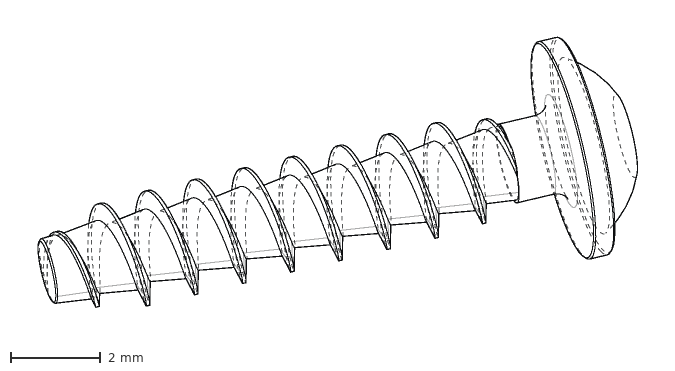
import cadquery as cq
import math


overall_length = 13.5
flange_radius = 2.5
flange_thickness = 0.5
flange_edge_chamfer = 0.04
seat_rise = 0.03
dome_height = 0.97
dome_base_radius = 2.02
dome_top_radius = 0.96
head_height = dome_height + flange_thickness

shank_radius = 0.9
neck_fillet = 0.39
shank_end = 1.27
tip_flat_radius = 0.7
tip_point_height = 0.03
tip_depth = overall_length - head_height

root_high_radius = 0.86
root_low_radius = 0.74
root_runout_start = 0.5
root_runout_end = 1.0
tip_taper_start = 8.5
tip_taper_per_turn = 0.11
tip_radius = 0.7

pitch = 1.12
first_crest_depth = 1.1
crest_radius = 1.25
crest_half_width = 0.04
flank_slope = 0.26
lead_in_radius = 1.0
lead_in_turns = 1.25
lead_out_start = 8.3
lead_out_per_turn = 0.39
vanishing_height = 0.01
first_turn = -1
last_turn = 11
points_per_turn = 24


def revolve(profile):
    return profile.close().revolve(360, (0, 0, 0), (0, 1, 0))


def dome_arc_middle():
    """Middle point of the dome arc, which is centred on the screw axis."""
    centre_drop = (dome_base_radius**2 - dome_top_radius**2 - dome_height**2) / (2 * dome_height)
    sphere_radius = math.hypot(dome_base_radius, centre_drop)
    base_angle = math.atan2(centre_drop, dome_base_radius)
    top_angle = math.atan2(centre_drop + dome_height, dome_top_radius)
    angle = (base_angle + top_angle) / 2
    centre_y = flange_thickness - centre_drop
    return (sphere_radius * math.cos(angle), centre_y + sphere_radius * math.sin(angle))


def make_head():
    """Domed head, flange and filleted neck down to the end of the plain shank."""
    neck_radius = shank_radius + neck_fillet
    neck_end = seat_rise + neck_fillet
    fillet_middle = neck_fillet * (1 - math.sqrt(0.5))
    outline = (
        cq.Workplane("ZY")
        .moveTo(0, head_height)
        .lineTo(dome_top_radius, head_height)
        .threePointArc(dome_arc_middle(), (dome_base_radius, flange_thickness))
        .lineTo(flange_radius - flange_edge_chamfer, flange_thickness)
        .lineTo(flange_radius, flange_thickness - flange_edge_chamfer)
        .lineTo(flange_radius, flange_edge_chamfer)
        .lineTo(flange_radius - flange_edge_chamfer, 0)
        .lineTo(neck_radius, -seat_rise)
        .threePointArc(
            (shank_radius + fillet_middle, -seat_rise - fillet_middle),
            (shank_radius, -neck_end),
        )
        .lineTo(shank_radius, -shank_end)
        .lineTo(0, -shank_end)
    )
    return revolve(outline)


def root_low_at(turn):
    """Root radius just ahead of the ridge: wide at the shank, narrow at the tip."""
    runout = (root_runout_end - turn) / (root_runout_end - root_runout_start)
    runout = min(max(runout, 0), 1)
    ahead = root_low_radius + runout * (root_high_radius - root_low_radius)
    return min(ahead, max(tip_radius, root_high_at(turn)))


def root_high_at(turn):
    """Root radius just behind the ridge, narrowing towards the tip."""
    taper = tip_taper_per_turn * max(turn - tip_taper_start, 0)
    return max(tip_radius, root_high_radius - taper)


def crest_at(turn):
    """Crest radius, growing over the lead-in and sinking into the root over the lead-out."""
    growth = (crest_radius - lead_in_radius) * max(turn, 0) / lead_in_turns
    lead_out = crest_radius - lead_out_per_turn * (turn - lead_out_start)
    return max(root_high_at(turn) + vanishing_height, min(crest_radius, lead_in_radius + growth, lead_out))


def front_half_width_at(turn):
    return crest_half_width + flank_slope * (crest_at(turn) - root_low_at(turn))


def back_half_width_at(turn):
    return crest_half_width + flank_slope * (crest_at(turn) - root_high_at(turn))


def front_base(turn):
    return root_low_at(turn), -front_half_width_at(turn)


def crest_front(turn):
    return crest_at(turn), -crest_half_width


def crest_back(turn):
    return crest_at(turn), crest_half_width


def back_base(turn):
    return root_high_at(turn), back_half_width_at(turn)


def helix_edge(corner, start_turn):
    """One right-handed turn traced by a profile corner, a (radius, axial offset) function."""
    points = []
    for i in range(points_per_turn + 1):
        turn = start_turn + i / points_per_turn
        angle = 2 * math.pi * turn
        radius, offset = corner(turn)
        depth = first_crest_depth + pitch * turn + offset
        points.append(cq.Vector(radius * math.cos(angle), -depth, radius * math.sin(angle)))
    return cq.Edge.makeSpline(points)


def end_faces(base_edge, profile_points):
    """Close one end: a helicoid from the root helix to the axis, and a flat radial face."""
    axis_start = cq.Vector(0, base_edge.startPoint().y, 0)
    axis_end = cq.Vector(0, base_edge.endPoint().y, 0)
    helicoid = cq.Face.makeRuledSurface(base_edge, cq.Edge.makeLine(axis_start, axis_end))
    outline = cq.Wire.makePolygon([axis_start, *profile_points, axis_end], close=True)
    return [helicoid, cq.Face.makeFromWires(outline)]


def make_threaded_body():
    """Root and ridge as one continuous helical skin, trimmed at the shank and at the tip."""
    corners = (front_base, crest_front, crest_back, back_base)
    turns = [[helix_edge(corner, k) for corner in corners] for k in range(first_turn, last_turn + 1)]
    faces = []
    for this_turn, next_turn in zip(turns, turns[1:]):
        chain = this_turn + next_turn[:1]
        faces += [cq.Face.makeRuledSurface(a, b) for a, b in zip(chain, chain[1:])]
    start_chain = turns[0] + turns[1][:1]
    end_chain = turns[-2] + turns[-1][:1]
    faces += end_faces(turns[0][0], [edge.startPoint() for edge in start_chain])
    faces += end_faces(turns[-1][0], [edge.endPoint() for edge in end_chain])
    solid = cq.Solid.makeSolid(cq.Shell.makeShell(faces)).fix()

    trim_radius = 2 * crest_radius
    chamfer_run = trim_radius - tip_flat_radius
    tip_flat_y = -tip_depth + tip_point_height
    kept_space = revolve(
        cq.Workplane("ZY")
        .moveTo(0, -shank_end)
        .lineTo(trim_radius, -shank_end)
        .lineTo(trim_radius, tip_flat_y + chamfer_run)
        .lineTo(tip_flat_radius, tip_flat_y)
        .lineTo(0, -tip_depth)
    )
    return cq.Workplane(solid).intersect(kept_space)


result = make_head().union(make_threaded_body())